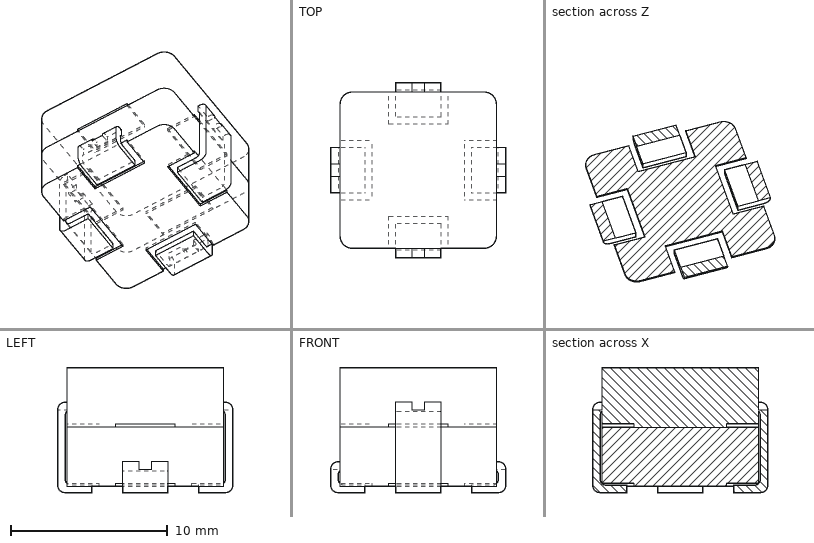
import cadquery as cq


overall_width = 11.2

core_width = 10.0
core_height = 3.8
core_corner_radius = 0.8
standoff = 0.4
recess_depth = 0.2

terminal_width = 2.9
terminal_thickness = 0.49
terminal_reach = 2.2
bend_radius = 0.49
inner_bend_radius = 0.36
notch_width = 0.8
lead_height = 1.59

recess_clearance = 0.45
recess_width = terminal_width + 2 * recess_clearance
recess_inner_end = overall_width / 2 - terminal_reach - recess_clearance
recess_length = core_width / 2 - recess_inner_end

lower_core_base = standoff
upper_core_base = lower_core_base + core_height


def make_core(base):
    """Square core with rounded upright edges and a recess at the middle of each lower edge."""
    core = (
        cq.Workplane("XY", origin=(0, 0, base))
        .rect(core_width, core_width)
        .extrude(core_height)
        .edges("|Z")
        .fillet(core_corner_radius)
    )
    recess = (
        cq.Workplane("XY")
        .box(recess_length, recess_width, recess_depth, centered=(False, True, False))
        .translate((recess_inner_end, 0, base))
    )
    for angle in (0, 90, 180, 270):
        core = core.cut(recess.rotate((0, 0, 0), (0, 0, 1), angle))
    return core


def make_terminal(top):
    """C-shaped strip on the +X side, reaching from Z = 0 to top, with a notch through its upper bend."""
    outer_face = overall_width / 2
    arm_end = outer_face - terminal_reach
    inner_face = outer_face - terminal_thickness

    strip = (
        cq.Workplane("XY")
        .box(terminal_reach, terminal_width, top, centered=(False, True, False))
        .edges("|Y and >X")
        .fillet(bend_radius)
        .translate((arm_end, 0, 0))
    )
    opening = (
        cq.Workplane("XY")
        .box(inner_face - arm_end, terminal_width, top - 2 * terminal_thickness, centered=(False, True, False))
        .edges("|Y and >X")
        .fillet(inner_bend_radius)
        .translate((arm_end, 0, terminal_thickness))
    )
    notch = (
        cq.Workplane("XY")
        .box(terminal_reach, notch_width, bend_radius, centered=(False, True, False))
        .translate((arm_end, 0, top - bend_radius))
    )
    return strip.cut(opening).cut(notch)


def make_inductor(base, terminal_angles):
    """Core with a terminal at each angle; the upper arms of the terminals run into the core."""
    inductor = make_core(base)
    terminal = make_terminal(base + lead_height)
    for angle in terminal_angles:
        inductor = inductor.union(terminal.rotate((0, 0, 0), (0, 0, 1), angle))
    return inductor


lower_inductor = make_inductor(lower_core_base, (0, 180))
upper_inductor = make_inductor(upper_core_base, (90, 270))

result = cq.Compound.makeCompound([lower_inductor.solids().val(), upper_inductor.solids().val()])